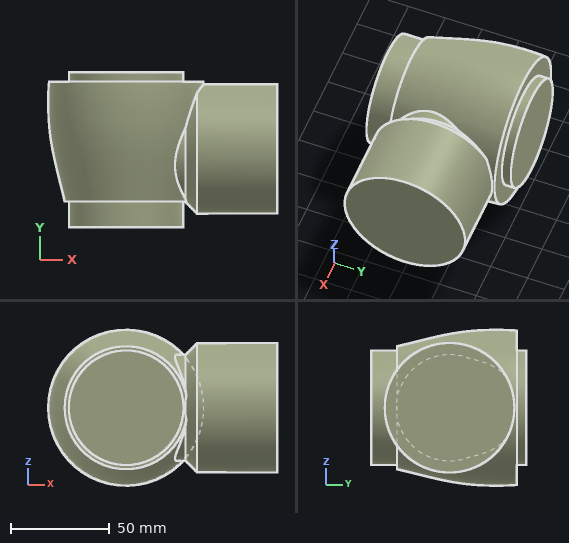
import cadquery as cq

body_max_radius = 79.0 / 2
body_front_radius = 31.1
body_front_y = -26.7
body_back_y = 34.0
widest_y = 23.2
body_back_radius = 39.1
taper_radius = 34.8
taper_y = -11.6
shoulder_radius = 38.2
shoulder_y = 4.6

boss_diameter = 58.0
front_boss_length = 13.0
back_boss_length = 4.9

neck_radius = 26.9
barrel_radius = 65.5 / 2
neck_start_x = 17.4
neck_end_x = 30.0
branch_end_x = 116.0 - body_max_radius
cone_length = barrel_radius - neck_radius


def make_body():
    front_rim = (body_front_radius, body_front_y)
    taper_point = (taper_radius, taper_y)
    shoulder_point = (shoulder_radius, shoulder_y)
    widest_point = (body_max_radius, widest_y)
    back_rim = (body_back_radius, body_back_y)
    return (
        cq.Workplane("XY")
        .moveTo(0, body_front_y)
        .lineTo(*front_rim)
        .spline([taper_point, shoulder_point, widest_point, back_rim], includeCurrent=True)
        .lineTo(0, body_back_y)
        .close()
        .revolve(360, (0, 0, 0), (0, 1, 0))
    )


def make_bosses():
    front_end_y = body_front_y - front_boss_length
    back_end_y = body_back_y + back_boss_length
    return (
        cq.Workplane("XZ", origin=(0, back_end_y, 0))
        .circle(boss_diameter / 2)
        .extrude(back_end_y - front_end_y)
    )


def make_branch():
    return (
        cq.Workplane("XY")
        .moveTo(neck_start_x, 0)
        .lineTo(neck_start_x, neck_radius)
        .lineTo(neck_end_x, neck_radius)
        .lineTo(neck_end_x + cone_length, barrel_radius)
        .lineTo(branch_end_x, barrel_radius)
        .lineTo(branch_end_x, 0)
        .close()
        .revolve(360, (0, 0, 0), (1, 0, 0))
    )


result = make_body().union(make_bosses()).union(make_branch())